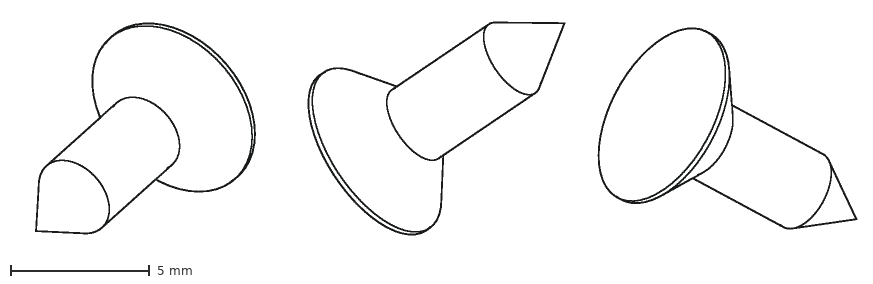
import cadquery as cq
import math

total_length = 9.5
head_diameter = 6.8
shank_diameter = 3.0
rim_thickness = 0.2
head_cone_angle = 90.0
tip_angle = 60.0

head_radius = head_diameter / 2
shank_radius = shank_diameter / 2
head_cone_length = (head_radius - shank_radius) / math.tan(math.radians(head_cone_angle / 2))
tip_length = shank_radius / math.tan(math.radians(tip_angle / 2))

rim_start = total_length - rim_thickness
head_start = rim_start - head_cone_length

half_profile = (
    cq.Workplane("XY")
    .moveTo(0, 0)
    .lineTo(shank_radius, tip_length)
    .lineTo(shank_radius, head_start)
    .lineTo(head_radius, rim_start)
    .lineTo(head_radius, total_length)
    .lineTo(0, total_length)
    .close()
)

result = half_profile.revolve(360, (0, 0, 0), (0, 1, 0))